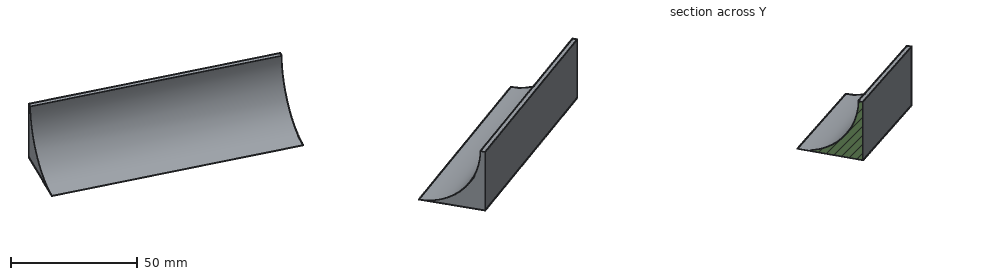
import cadquery as cq

length = 105.25
height = 26.0
top_width = 2.0

cove_radius = height
width = top_width + cove_radius


def bar():
    """Rectangular bar along Y with one corner at the origin."""
    return cq.Workplane("XY").box(width, length, height, centered=False)


def cove_cutter():
    """Cylinder along Y, centred on the upper +X edge of the bar."""
    return (
        cq.Workplane("XZ")
        .center(width, height)
        .circle(cove_radius)
        .extrude(-length)
    )


result = bar().cut(cove_cutter())